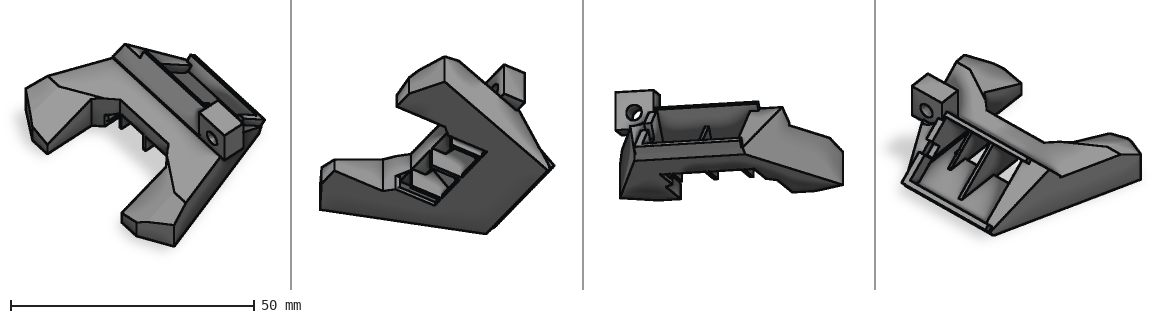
import cadquery as cq
import math


tip_half_width = 23.75
tip_y = 4.15
toe_half_width = 16.65
leg_gap_half = 11.88
leg_root_y = 11.85
bridge_front_y = 16.0
corner_half_width = leg_gap_half - (bridge_front_y - leg_root_y)
back_half_width = 11.5
back_y = 37.75

deck_z = 9.02
deck_front_y = 8.65
nose_angle = 25.0
step_y = 22.0
ramp_angle = 40.0
ridge_y = 24.5
ridge_z = 12.4
base_back_y = 36.9

facet_outer = (18.45, deck_front_y)
facet_inner = (10.15, 13.65)
facet_angle = 29.0
facet_half_length = 11.4

frame_height = 1.6
upper_bar_width = 1.05
lower_bar_width = 1.3
upper_bar_left = -11.5
lower_bar_left = -11.2
frame_right = 11.35
wall_gap_start = 6.95
wall_gap_length = 3.05

well_left = -9.7
well_right = 9.85
floor_thickness = 1.0
floor_front_y = 23.35
floor_edge_run = 0.15
tunnel_half_width = 9.98
tunnel_height = 4.6
ramp_skin = 2.0
corner_wall = 0.75

middle_rib_width = 0.8
middle_rib_back_y = 33.6
side_rib_width = 0.65
side_rib_x = 7.6
side_rib_back_y = 28.02

block_height = 8.0
block_width = 8.08
block_left = 10.4
block_depth = 5.1
block_bore = 3.25
bore_x = 14.55
bore_z = 12.5
clearance_diameter = 6.0

reach = 28.5

ramp_slope = math.tan(math.radians(ramp_angle))
ramp_cos = math.cos(math.radians(ramp_angle))
ramp_sin = math.sin(math.radians(ramp_angle))
nose_slope = math.tan(math.radians(nose_angle))
tunnel_front_z = tunnel_height - (bridge_front_y - leg_root_y) * nose_slope
ramp_length = (back_y - ridge_y) / ramp_cos


def ramp_point(along, height):
    """(Y, Z) of a point a distance down the ramp from the ridge and a height square off it."""
    y = ridge_y + along * ramp_cos + height * ramp_sin
    z = ridge_z - along * ramp_sin + height * ramp_cos
    return (y, z)


def side_prism(points, x_start, x_end):
    """Extrude a (Y, Z) outline from x_start to x_end."""
    return cq.Workplane("YZ", origin=(x_start, 0, 0)).polyline(points).close().extrude(x_end - x_start)


def ramp_strip(along_start, along_end, height_start, height_end, x_start, x_end):
    """A bar that lies along the ramp."""
    corners = [
        ramp_point(along_start, height_start),
        ramp_point(along_end, height_start),
        ramp_point(along_end, height_end),
        ramp_point(along_start, height_end),
    ]
    return side_prism(corners, x_start, x_end)


def make_plan():
    """Outline from above, extruded upwards to trim the side profile."""
    right = [
        (back_half_width, back_y),
        (tip_half_width, tip_y),
        (toe_half_width, 0),
        (leg_gap_half, 0),
        (leg_gap_half, leg_root_y),
        (corner_half_width, bridge_front_y),
    ]
    left = [(-x, y) for x, y in reversed(right)]
    return cq.Workplane("XY").polyline(right + left).close().extrude(reach)


def make_facet_cutter():
    """Wedge that slopes the right leg down towards the gap between the legs."""
    along_x = facet_inner[0] - facet_outer[0]
    along_y = facet_inner[1] - facet_outer[1]
    plane = cq.Plane(
        origin=(facet_outer[0], facet_outer[1], deck_z),
        xDir=(-along_y, along_x, 0),
        normal=(along_x, along_y, 0),
    )
    drop = reach * math.tan(math.radians(facet_angle))
    wedge = cq.Workplane(plane).polyline([(0, 0), (reach, -drop), (reach, 0)]).close()
    return wedge.extrude(facet_half_length, both=True)


def make_body():
    """Side profile trimmed to the plan, with both legs faceted."""
    step_z = ridge_z - (ridge_y - step_y) / ramp_slope
    profile = [
        (0, 0),
        (0, deck_z - deck_front_y * nose_slope),
        (deck_front_y, deck_z),
        (step_y, deck_z),
        (step_y, step_z),
        (ridge_y, ridge_z),
        ramp_point(ramp_length, 0),
        (base_back_y, 0),
    ]
    body = side_prism(profile, -tip_half_width, tip_half_width).intersect(make_plan())
    facet = make_facet_cutter()
    return body.cut(facet).cut(facet.mirror("YZ"))


def make_frame():
    """Upper and lower bars joined by a right wall that has one gap; the left side is open."""
    upper = ramp_strip(0, upper_bar_width, 0, frame_height, upper_bar_left, frame_right)
    lower = ramp_strip(
        ramp_length - lower_bar_width, ramp_length, 0, frame_height, lower_bar_left, frame_right
    )
    wall = ramp_strip(0, ramp_length, 0, frame_height, well_right, frame_right)
    return upper.union(lower).union(wall)


def make_block():
    """Block on the right of the deck that carries the bore."""
    corner = cq.Workplane("XY", origin=(block_left, step_y, deck_z))
    return corner.box(block_width, block_depth, block_height, centered=False)


def make_bore_cutter():
    """Bore through the block, widened behind it where it runs over the ramp."""
    block_back_y = step_y + block_depth
    bore = cq.Workplane("XZ", origin=(bore_x, 0, bore_z)).circle(block_bore / 2).extrude(-2 * reach)
    clearance = cq.Workplane("XZ", origin=(bore_x, block_back_y, bore_z))
    return bore.union(clearance.circle(clearance_diameter / 2).extrude(-reach))


def make_tunnel():
    """Passage under the bridge, open at the base in front of the floor."""
    profile = [
        (leg_root_y, 0),
        (floor_front_y - floor_edge_run, 0),
        (floor_front_y, floor_thickness),
        (floor_front_y, tunnel_height),
        (bridge_front_y, tunnel_height),
        (leg_root_y, tunnel_front_z),
    ]
    return side_prism(profile, -tunnel_half_width, tunnel_half_width)


def make_chamber():
    """Hollow above the floor, wider than the tunnel and closed by the ramp skin."""
    skin_y, skin_z = ramp_point(0, -ramp_skin)
    profile = [
        (leg_root_y, floor_thickness),
        (skin_y + (skin_z - floor_thickness) / ramp_slope, floor_thickness),
        (skin_y + (skin_z - tunnel_height) / ramp_slope, tunnel_height),
        (bridge_front_y, tunnel_height),
        (leg_root_y, tunnel_front_z),
    ]
    setback = corner_wall * math.sqrt(2)
    right = [
        (leg_gap_half, back_y),
        (leg_gap_half, leg_root_y + setback),
        (corner_half_width, bridge_front_y + setback),
    ]
    left = [(-x, y) for x, y in reversed(right)]
    plan = cq.Workplane("XY").polyline(right + left).close().extrude(reach)
    return side_prism(profile, -leg_gap_half, leg_gap_half).intersect(plan)


def make_well():
    """Opening square to the ramp, between the two bars and down to the floor."""
    upper_foot_y, upper_foot_z = ramp_point(upper_bar_width, 0)
    lower_foot_y, lower_foot_z = ramp_point(ramp_length - lower_bar_width, 0)
    profile = [
        (upper_foot_y, upper_foot_z),
        (upper_foot_y - (upper_foot_z - floor_thickness) * ramp_slope, floor_thickness),
        (lower_foot_y - (lower_foot_z - floor_thickness) * ramp_slope, floor_thickness),
        (lower_foot_y, lower_foot_z),
    ]
    return side_prism(profile, well_left, well_right)


def make_rib(center_x, width, back_y_at_floor):
    """Rib under the bridge whose top edge runs parallel to the ramp."""
    top_z = floor_thickness + (back_y_at_floor - bridge_front_y) * ramp_slope
    profile = [
        (bridge_front_y, 0),
        (back_y_at_floor, 0),
        (back_y_at_floor, floor_thickness),
        (bridge_front_y, top_z),
    ]
    return side_prism(profile, center_x - width / 2, center_x + width / 2)


def make_cavity():
    """All hollow spaces, leaving the ribs standing."""
    cavity = make_tunnel().union(make_chamber()).union(make_well())
    cavity = cavity.cut(make_rib(0, middle_rib_width, middle_rib_back_y))
    for x in (-side_rib_x, side_rib_x):
        cavity = cavity.cut(make_rib(x, side_rib_width, side_rib_back_y))
    return cavity


def make_gap_cutter():
    """Gap in the right wall that carries on through the ramp skin."""
    gap_end = wall_gap_start + wall_gap_length
    return ramp_strip(wall_gap_start, gap_end, -ramp_skin, frame_height, well_right, frame_right)


result = (
    make_body()
    .union(make_frame())
    .union(make_block())
    .cut(make_bore_cutter())
    .cut(make_gap_cutter())
    .cut(make_cavity())
)